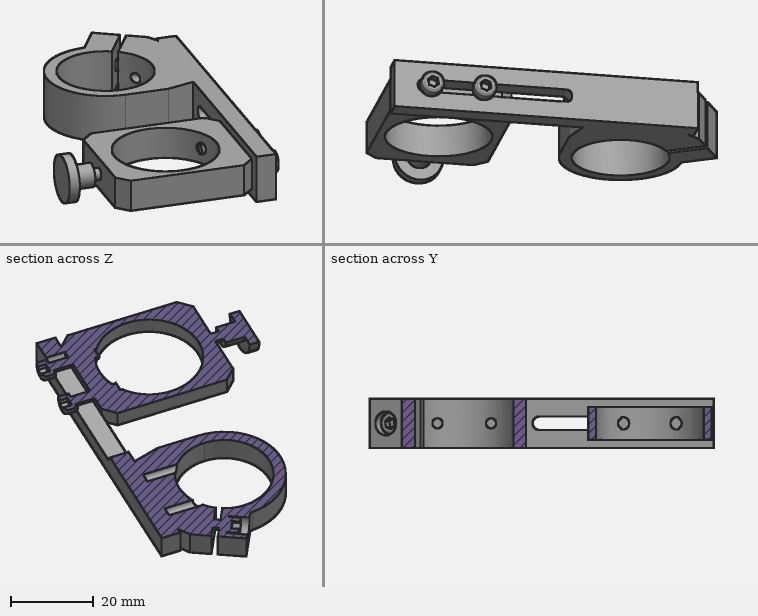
import cadquery as cq
import math


rail_height = 12.0
rail_length = 75.0
rail_thickness = 5.0
rail_left = -14.5
rail_face_y = 18.0
rail_back_y = rail_face_y + rail_thickness
slot_width = 3.2
slot_left = 16.6
slot_centre_distance = 35.0

ring_radius = 15.0
ring_bore_diameter = 23.8
shoulder_right_x = 13.0
shoulder_right_y = 11.0
shoulder_left_x = -13.3

slit_angle = 150.0
slit_width = 1.5
ear_reach = 22.0
lower_ear_thickness = 7.0
upper_ear_thickness = 5.2
ear_root_fillet = 1.0
clamp_screw_reach = 17.5
counterbore_diameter = 5.8
counterbore_depth = 5.0
clamp_screw_length = 10.0

block_x = 45.0
block_width = 30.0
block_length = 35.0
block_height = 8.0
block_chamfer = 3.0
block_bore_diameter = 26.1
block_front_y = rail_face_y - block_length

screw_diameter = 3.0
head_diameter = 5.5
head_height = 3.0
head_fillet = 0.6
socket_across_corners = 2.8
socket_sides = 6
socket_depth = 2.0
socket_turn = 10.0
rail_screw_length = 12.0
rail_screw_pitch = 13.0
tapped_hole_diameter = 2.46

thumb_screw_steps = [(3.0, 2.0), (6.0, 5.0), (12.0, 2.6)]

along = cq.Vector(math.cos(math.radians(slit_angle)), math.sin(math.radians(slit_angle)), 0)
across = cq.Vector(along.y, -along.x, 0)
lower_ear_face = -(slit_width / 2 + lower_ear_thickness)


def ear_point(reach, offset):
    """Point in the XY plane from its reach along the slit and offset square to it."""
    point = along * reach + across * offset
    return (point.x, point.y)


def prism(points, height):
    """Polygon extruded evenly about the mid-plane."""
    return cq.Workplane("XY", origin=(0, 0, -height / 2)).polyline(points).close().extrude(height)


def disc(diameter, height):
    """Cylinder about the ring axis, even about the mid-plane."""
    return cq.Workplane("XY", origin=(0, 0, -height / 2)).circle(diameter / 2).extrude(height)


def socket_screw(seat, direction, shank_length):
    """Socket-head screw: head rises from the seat along direction, shank runs the other way."""
    plane = cq.Plane(origin=seat, xDir=(0, 0, 1), normal=direction)
    head = cq.Workplane(plane).circle(head_diameter / 2).extrude(head_height)
    head = head.faces(cq.selectors.DirectionMinMaxSelector(plane.zDir, True)).edges().fillet(head_fillet)
    socket = (
        cq.Workplane(plane)
        .transformed(rotate=(0, 0, socket_turn), offset=(0, 0, head_height - socket_depth))
        .polygon(socket_sides, socket_across_corners)
        .extrude(socket_depth)
    )
    shank = cq.Workplane(plane).circle(screw_diameter / 2).extrude(-shank_length)
    return head.cut(socket).union(shank)


def tapped_holes(centre_x):
    """Pair of holes from a ring's centre line back to the rail face."""
    return (
        cq.Workplane("XZ", origin=(centre_x, 0, 0))
        .pushPoints([(-rail_screw_pitch / 2, 0), (rail_screw_pitch / 2, 0)])
        .circle(tapped_hole_diameter / 2)
        .extrude(-rail_face_y)
    )


def make_rail():
    rail = cq.Workplane("XY").box(rail_length, rail_thickness, rail_height, centered=(False, False, True))
    rail = rail.translate((rail_left, rail_face_y, 0))
    slot_length = slot_centre_distance + slot_width
    slot = (
        cq.Workplane("XZ", origin=(slot_left + slot_length / 2, rail_back_y, 0))
        .slot2D(slot_length, slot_width)
        .extrude(rail_thickness)
    )
    return rail.cut(slot)


def make_split_ring():
    upper_body = prism(
        [
            (0, 0),
            (ring_radius, 0),
            (ring_radius, shoulder_right_y),
            (shoulder_right_x, rail_face_y),
            (shoulder_left_x, rail_face_y),
            ear_point(ear_reach, slit_width / 2 + upper_ear_thickness),
            ear_point(ear_reach, 0),
        ],
        rail_height,
    )
    lower_ear = prism(
        [
            (0, 0),
            ear_point(ear_reach, 0),
            ear_point(ear_reach, lower_ear_face),
            ear_point(0, lower_ear_face),
        ],
        rail_height,
    )
    ring = disc(2 * ring_radius, rail_height).union(upper_body).union(lower_ear)

    root_reach = math.sqrt(ring_radius**2 - lower_ear_face**2)
    root_x, root_y = ear_point(root_reach, lower_ear_face)
    ring = ring.edges(cq.selectors.NearestToPointSelector((root_x, root_y, 0))).fillet(ear_root_fillet)

    slit = prism(
        [
            ear_point(0, slit_width / 2),
            ear_point(ear_reach, slit_width / 2),
            ear_point(ear_reach, -slit_width / 2),
            ear_point(0, -slit_width / 2),
        ],
        rail_height,
    )
    ring = ring.cut(disc(ring_bore_diameter, rail_height)).cut(slit)
    return ring.cut(tapped_holes(0))


def add_clamp_screw(ring):
    mouth = ear_point(clamp_screw_reach, lower_ear_face)
    mouth_plane = cq.Plane(origin=(*mouth, 0), xDir=(0, 0, 1), normal=across)
    counterbore = cq.Workplane(mouth_plane).circle(counterbore_diameter / 2).extrude(counterbore_depth)
    seat = ear_point(clamp_screw_reach, lower_ear_face + counterbore_depth)
    screw = socket_screw((*seat, 0), -across, clamp_screw_length)
    return ring.cut(counterbore).union(screw)


def make_block():
    block = cq.Workplane("XY").box(block_width, block_length, block_height)
    block = block.edges("|Z").chamfer(block_chamfer)
    block = block.translate((block_x, block_front_y + block_length / 2, 0))
    bore = disc(block_bore_diameter, block_height).translate((block_x, 0, 0))
    return block.cut(bore).cut(tapped_holes(block_x))


def add_thumb_screw(body):
    step_y = block_front_y
    for diameter, length in thumb_screw_steps:
        step = cq.Workplane("XZ", origin=(block_x, step_y, 0)).circle(diameter / 2).extrude(length)
        body = body.union(step)
        step_y -= length
    return body


def add_rail_screws(body):
    for side in (-1, 1):
        seat = (block_x + side * rail_screw_pitch / 2, rail_back_y, 0)
        body = body.union(socket_screw(seat, cq.Vector(0, 1, 0), rail_screw_length))
    return body


split_ring = add_clamp_screw(make_split_ring())
result = add_thumb_screw(make_rail().union(split_ring).union(make_block()))
result = add_rail_screws(result)